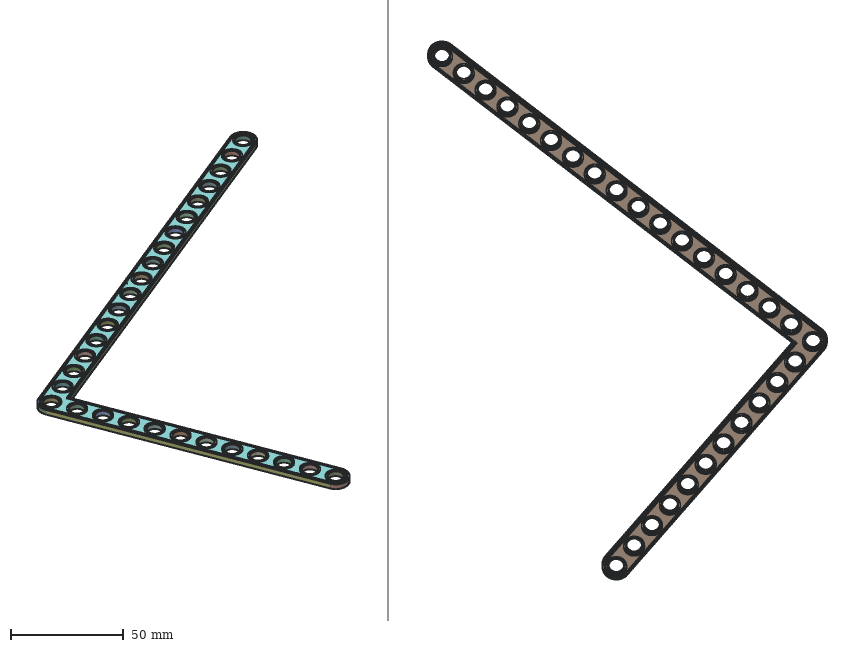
import cadquery as cq

LONG_ARM = 225.0
LONG_ARM_HOLES = 18
SHORT_ARM_HOLES = 12
HOLE_DIAMETER = 7.0
RIM_WIDTH = 1.1
POCKET_DEPTH = 0.2
CHAMFER = 0.3

pitch = LONG_ARM / LONG_ARM_HOLES
width = pitch
thickness = width / 4
ring_diameter = HOLE_DIAMETER + 2 * RIM_WIDTH
short_span = (SHORT_ARM_HOLES - 1) * pitch
long_span = (LONG_ARM_HOLES - 1) * pitch

short_row = [(i * pitch, 0) for i in range(SHORT_ARM_HOLES)]
long_row = [(0, i * pitch) for i in range(1, LONG_ARM_HOLES)]
hole_centers = short_row + long_row


def round_bar(span, bar_width, bottom, height, angle):
    """Round-ended bar whose first end is centred on the Z axis, turned about Z by angle."""
    bar = (
        cq.Workplane("XY", origin=(0, 0, bottom))
        .center(span / 2, 0)
        .slot2D(span + bar_width, bar_width)
        .extrude(height)
    )
    return bar.rotate((0, 0, 0), (0, 0, 1), angle)


def l_shape(bar_width, bottom, height):
    """Short bar along X joined to a long bar along Y."""
    short_bar = round_bar(short_span, bar_width, bottom, height, 0)
    long_bar = round_bar(long_span, bar_width, bottom, height, 90)
    return short_bar.union(long_bar).clean()


def pocket(bottom):
    """Shallow recess inside the rim that leaves a ring standing around each hole."""
    rings = (
        cq.Workplane("XY", origin=(0, 0, bottom))
        .pushPoints(hole_centers)
        .circle(ring_diameter / 2)
        .extrude(POCKET_DEPTH)
    )
    return l_shape(width - 2 * RIM_WIDTH, bottom, POCKET_DEPTH).cut(rings)


def chamfered_holes():
    """Cutters for the through holes, widened by a chamfer at both faces."""
    hole_radius = HOLE_DIAMETER / 2
    mouth_radius = hole_radius + CHAMFER
    half_section = [
        (0, 0),
        (mouth_radius, 0),
        (hole_radius, CHAMFER),
        (hole_radius, thickness - CHAMFER),
        (mouth_radius, thickness),
        (0, thickness),
    ]
    cutter = cq.Workplane("XZ").polyline(half_section).close().revolve(360, (0, 0), (0, 1)).val()
    return cq.Workplane("XY").pushPoints(hole_centers).eachpoint(cutter, combine=False)


plate = l_shape(width, 0, thickness).faces("|Z").chamfer(CHAMFER)

for pocket_bottom in (0, thickness - POCKET_DEPTH):
    plate = plate.cut(pocket(pocket_bottom))

result = plate.cut(chamfered_holes()).solids()